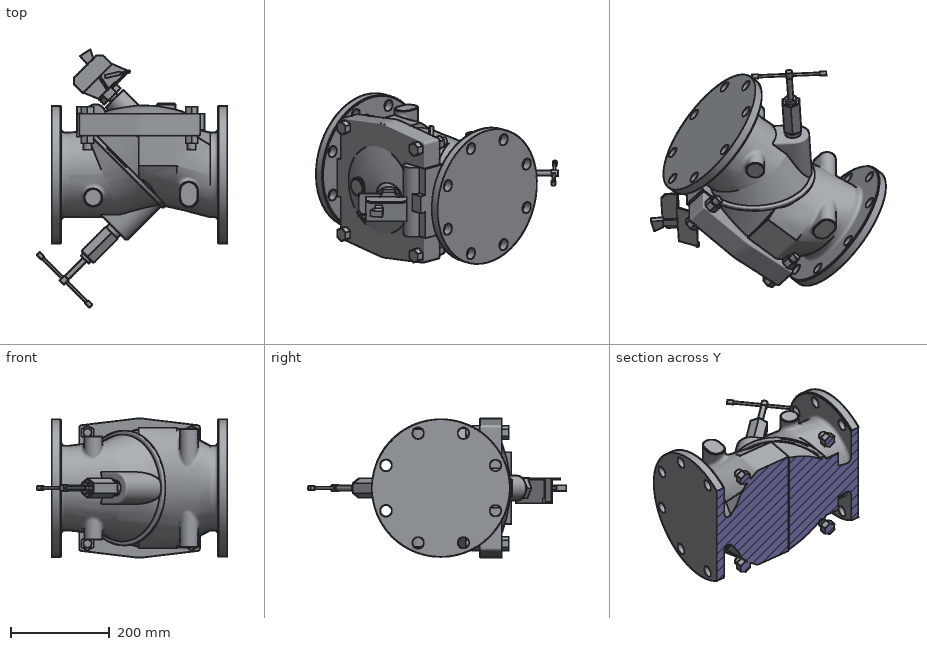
import cadquery as cq
import math


FACE_TO_FACE = 356.0
HALF_LENGTH = FACE_TO_FACE / 2
FLANGE_RADIUS = 139.7
FLANGE_THICKNESS = 19.5
FLANGE_INNER_X = HALF_LENGTH - FLANGE_THICKNESS
FLANGE_EDGE = 2.0
BOLT_CIRCLE_RADIUS = 120.0
FLANGE_HOLE_RADIUS = 11.5
FLANGE_HOLE_COUNT = 8
NECK_RADIUS = 86.0
NECK_END_X = 143.0
NECK_FILLET = 7.0

ELBOW_CENTRE = (-73.5, 1.0)
ELBOW_ANGLE = 22.5
ELBOW_RADIUS = 94.5
SEAT_CENTRE = (-31.5, 17.5)
SEAT_ANGLE = 45.0
SEAT_RADIUS = 110.0
SEAT_COLLAR_END_RADIUS = 121.0
SEAT_RIB_RADIUS = 116.5
SEAT_RIB_WIDTH = 9.0
SEAT_RIB_FILLET = 3.0
SEAT_COLLAR_LENGTH = 62.0

CHAMBER_HALF_WIDTH = 122.0
CHAMBER_START_X = -2.0
CHAMBER_END_X = 75.5
CHAMBER_SIDE_BOTTOM_Y = 18.0
CHAMBER_CORNER_RADIUS = 10.0
CHAMBER_FLOOR_START_Y = -51.0
CHAMBER_FLOOR_END_Y = -69.0

COVER_BOTTOM_Y = 79.0
COVER_TOP_Y = 124.0
COVER_MIDDLE_Y = (COVER_BOTTOM_Y + COVER_TOP_Y) / 2
COVER_HALF_LENGTH = 122.6
COVER_END_HALF_WIDTH = 127.0
COVER_HALF_WIDTH = 282.55 / 2
COVER_CROWN_HALF_LENGTH = 16.0
COVER_CROWN_EDGE_HALF_WIDTH = 139.8
COVER_CORNER_RADIUS = 6.0
COVER_EDGE_RADIUS = 3.0
COVER_TOP_EDGE_RADIUS = 1.5
DOME_CENTRE_X = 8.0
DOME_TOP_Y = 141.0
DOME_RADIUS = 250.0
DOME_COLUMN_RADIUS = 110.0
PLUG_X = 54.0
PLUG_RADIUS = 19.0
PLUG_RIM_RADIUS = 16.5
PLUG_TOP_Y = 144.5

HINGE_HALF_WIDTH = 73.0
HINGE_X = -89.0
HINGE_Y = 123.0
HINGE_RADIUS = 20.0
HINGE_BLOCK_MIN_X = -127.0
HINGE_BLOCK_TOP_Y = 125.0
HINGE_LUG_HALF_WIDTH = 18.0
HINGE_LUG_TOP_Y = 138.0
HINGE_BLOCK_BOTTOM_Y = 77.0
OUTLET_PAD_MAX_X = 131.7
OUTLET_PAD_BOTTOM_Y = 91.0
OUTLET_PAD_HALF_WIDTH = 40.0
PAD_CORNER_RADIUS = 3.0

BOLT_X = 105.4
BOLT_Z = 112.5
BOLT_RADIUS = 8.3
BOLT_END_Y = 51.0
HEX_ACROSS_FLATS = 24.4
HEAD_TOP_Y = 138.0
NUT_BOTTOM_Y = 63.5

BOSS_RADIUS = 18.5
INLET_BOSS_FILLET = 8.0
OUTLET_BOSS_FILLET = 7.0
BOSS_ROOT_MIN_Z = 30.0
BOSS_ROOT_MARGIN = 3.0
INLET_BOSS_X = -94.0
INLET_BOSS_Y = -46.0
INLET_BOSS_Z = 105.0
OUTLET_BOSS_X = 100.0
OUTLET_BOSS_Y = -39.5
OUTLET_BOSS_LENGTH = 52.0
OUTLET_BOSS_Z = 120.5
BOSS_EDGE = 1.5

JACK_OFFSET = 61.0
JACK_BOSS_RADIUS = 33.0
JACK_BOSS_INLET_REACH = 46.2
JACK_BOSS_START = 10.0
JACK_BOSS_END = 113.0
JACK_BOSS_EDGE = 4.0
JACK_COLLAR = (16.0, 123.0)
JACK_HEX_ACROSS_FLATS = 34.6
JACK_HEX_EDGE = 1.5
JACK_HEX_END = 193.0
JACK_GLAND = (11.5, 200.0)
JACK_ROD = (5.5, 252.0)
JACK_HUB = (6.5, 266.0)
HANDLE_DISTANCE = 258.0
HANDLE_ROD_RADIUS = 2.8
HANDLE_CAP_RADIUS = 4.5
HANDLE_CAP_LENGTH = 13.0
HANDLE_HALF_LENGTH = 75.5

INDICATOR_OFFSET = 103.5
INDICATOR_BOSS_RADIUS = 25.5
INDICATOR_BOSS_START = 90.0
INDICATOR_BOSS_END = 145.0
INDICATOR_SHAFT_RADIUS = 10.0
INDICATOR_NUT_ACROSS_FLATS = 41.0
INDICATOR_NUT_START = 151.0
INDICATOR_NUT_END = 168.0
SHEET = 3.0
BRACKET_TOP_Z = 20.0
BRACKET_BOTTOM_Z = -31.0
BRACKET_NEAR = 163.0
BRACKET_FAR = 201.0
BRACKET_NEAR_ACROSS = (-21.5, 60.5)
BRACKET_FAR_ACROSS = (-37.5, 45.5)
BRACKET_BEND_RADIUS = 2.5
PLATE_END = 233.0
PLATE_CHAMFER = 9.5
PADDLE = [(-121.0, 240.5), (-99.5, 254.2), (-93.0, 235.0), (-104.0, 222.0)]
PADDLE_HALF_THICKNESS = 6.0
STEM_ACROSS = (12.5, 26.5)
STEM_HALF_THICKNESS = 2.5
STEM_END = 233.0
SPRING_ENDS = ((190.0, 18.0), (173.0, 45.0))
SPRING_RADIUS = 3.4
WIRE_ENDS = ((190.0, 18.0), (163.5, 59.0))
WIRE_RADIUS = 1.5
LEVER_ENDS = ((196.0, 9.5), (167.0, 3.5))
LEVER_RADIUS = 2.2
LOOP_RADIUS = 3.0
LOOP_TOP_Z = -21.0

DIAGONAL = math.sqrt(0.5)
COVER_OUTWARD = cq.Vector(0, 1, 0)
JACK_OUTWARD = cq.Vector(-1, -1, 0)
INDICATOR_OUTWARD = cq.Vector(-1, 1, 0)


def cylinder(radius, start, end):
    axis = end - start
    return cq.Workplane(cq.Solid.makeCylinder(radius, axis.Length, start, axis))


def box(x_range, y_range, z_range):
    size = [high - low for low, high in (x_range, y_range, z_range)]
    corner = cq.Vector(x_range[0], y_range[0], z_range[0])
    return cq.Workplane(cq.Solid.makeBox(*size, corner))


def box_around(centre, reach_x, reach_y, reach_z):
    """Selects the edges whose centres lie within the given reaches of a point."""
    reach = cq.Vector(reach_x, reach_y, reach_z)
    return cq.selectors.BoxSelector((centre - reach).toTuple(), (centre + reach).toTuple())


def axial_plane(origin, direction):
    """Plane square to a direction in the XY plane; its local x is global Z."""
    return cq.Plane(origin=origin, xDir=(0, 0, 1), normal=direction)


def inclined_direction(angle):
    return cq.Vector(math.cos(math.radians(angle)), math.sin(math.radians(angle)), 0)


def circle_wire(centre, angle, radius):
    return cq.Wire.makeCircle(radius, cq.Vector(*centre), inclined_direction(angle))


def flange(side):
    outer = cq.Vector(side * HALF_LENGTH, 0, 0)
    inner = cq.Vector(side * FLANGE_INNER_X, 0, 0)
    disc = cylinder(FLANGE_RADIUS, inner, outer)
    disc = disc.faces("<X" if side > 0 else ">X").edges().chamfer(FLANGE_EDGE)
    for index in range(FLANGE_HOLE_COUNT):
        angle = 2 * math.pi * (index + 0.5) / FLANGE_HOLE_COUNT
        across = cq.Vector(0, BOLT_CIRCLE_RADIUS * math.cos(angle), BOLT_CIRCLE_RADIUS * math.sin(angle))
        disc = disc.cut(cylinder(FLANGE_HOLE_RADIUS, inner + across, outer + across))
    return disc.union(neck(side))


def neck(side):
    """Pipe neck with a concave root against the flange, revolved about the X axis."""
    root_x = FLANGE_INNER_X - NECK_FILLET
    bend = NECK_FILLET * (1 - DIAGONAL)
    outline = (
        cq.Workplane("XY")
        .moveTo(side * NECK_END_X, 0)
        .lineTo(side * NECK_END_X, NECK_RADIUS)
        .lineTo(side * root_x, NECK_RADIUS)
        .threePointArc(
            (side * (FLANGE_INNER_X - bend), NECK_RADIUS + bend),
            (side * FLANGE_INNER_X, NECK_RADIUS + NECK_FILLET),
        )
        .lineTo(side * FLANGE_INNER_X, 0)
        .close()
    )
    return outline.revolve(360, (0, 0, 0), (1, 0, 0))


def inlet():
    sections = [
        circle_wire((-NECK_END_X, 0), 0, NECK_RADIUS),
        circle_wire(ELBOW_CENTRE, ELBOW_ANGLE, ELBOW_RADIUS),
        circle_wire(SEAT_CENTRE, SEAT_ANGLE, SEAT_RADIUS),
    ]
    return cq.Workplane(cq.Solid.makeLoft(sections, True))


def below_cover(shape):
    """Trims away what would stand above the middle of the cover."""
    reach = FACE_TO_FACE
    return shape.cut(box((-reach, reach), (COVER_MIDDLE_Y, reach), (-reach, reach)))


def seat():
    """Raised rib around the seat and the flared collar that carries on into the chamber."""
    along = inclined_direction(SEAT_ANGLE)
    centre = cq.Vector(*SEAT_CENTRE)
    half_width = along * (SEAT_RIB_WIDTH / 2)
    rib = cylinder(SEAT_RIB_RADIUS, centre - half_width, centre + half_width)
    rib = rib.edges().fillet(SEAT_RIB_FILLET)
    collar = cq.Solid.makeCone(SEAT_RADIUS, SEAT_COLLAR_END_RADIUS, SEAT_COLLAR_LENGTH, centre, along)
    return rib.union(cq.Workplane(collar))


def chamber_wire(x, floor_y):
    half = CHAMBER_HALF_WIDTH
    plane = cq.Plane(origin=(x, 0, 0), xDir=(0, 1, 0), normal=(1, 0, 0))
    return (
        cq.Workplane(plane)
        .moveTo(COVER_MIDDLE_Y, -half)
        .lineTo(CHAMBER_SIDE_BOTTOM_Y, -half)
        .threePointArc((floor_y, 0), (CHAMBER_SIDE_BOTTOM_Y, half))
        .lineTo(COVER_MIDDLE_Y, half)
        .close()
        .val()
    )


def outlet_neck_wire():
    """Round neck section, split into stretches that match the chamber section."""
    radius = NECK_RADIUS
    slant = radius * DIAGONAL
    side_middle_angle = math.radians(45 / 2)
    side_y = radius * math.sin(side_middle_angle)
    side_z = radius * math.cos(side_middle_angle)
    plane = cq.Plane(origin=(NECK_END_X, 0, 0), xDir=(0, 1, 0), normal=(1, 0, 0))
    return (
        cq.Workplane(plane)
        .moveTo(slant, -slant)
        .threePointArc((side_y, -side_z), (0, -radius))
        .threePointArc((-radius, 0), (0, radius))
        .threePointArc((side_y, side_z), (slant, slant))
        .threePointArc((radius, 0), (slant, -slant))
        .close()
        .val()
    )


def chamber():
    start = chamber_wire(CHAMBER_START_X, CHAMBER_FLOOR_START_Y)
    end = chamber_wire(CHAMBER_END_X, CHAMBER_FLOOR_END_Y)
    middle = cq.Workplane(cq.Solid.makeLoft([start, end], True))
    taper = cq.Workplane(cq.Solid.makeLoft([end, outlet_neck_wire()], True))
    reach = FACE_TO_FACE
    seat_plane = axial_plane((*SEAT_CENTRE, 0), inclined_direction(SEAT_ANGLE))
    inlet_side = cq.Workplane(seat_plane).rect(2 * reach, 2 * reach).extrude(-reach)
    body = middle.cut(inlet_side).union(taper)
    corner_reach = 1.0
    corner_y = (CHAMBER_SIDE_BOTTOM_Y + COVER_MIDDLE_Y) / 2
    for side in (-1, 1):
        corner = cq.Vector(CHAMBER_END_X, corner_y, side * CHAMBER_HALF_WIDTH)
        body = body.edges(box_around(corner, corner_reach, corner_reach, corner_reach))
        body = body.fillet(CHAMBER_CORNER_RADIUS)
    return body


def cover_body():
    plane = cq.Plane(origin=(0, COVER_BOTTOM_Y, 0), xDir=(1, 0, 0), normal=(0, 1, 0))
    crown = COVER_CROWN_HALF_LENGTH
    crown_z = COVER_CROWN_EDGE_HALF_WIDTH
    length = COVER_HALF_LENGTH
    end_z = COVER_END_HALF_WIDTH
    body = (
        cq.Workplane(plane)
        .moveTo(-length, -end_z)
        .lineTo(-crown, -crown_z)
        .threePointArc((0, -COVER_HALF_WIDTH), (crown, -crown_z))
        .lineTo(length, -end_z)
        .lineTo(length, end_z)
        .lineTo(crown, crown_z)
        .threePointArc((0, COVER_HALF_WIDTH), (-crown, crown_z))
        .lineTo(-length, end_z)
        .close()
        .extrude(COVER_TOP_Y - COVER_BOTTOM_Y)
    )
    ends = body.edges("|Y").edges("<X or >X")
    body = ends.fillet(COVER_CORNER_RADIUS).faces("<Y").edges().fillet(COVER_EDGE_RADIUS)
    return body.faces(">Y").edges().fillet(COVER_TOP_EDGE_RADIUS)


def dome():
    ball = cq.Workplane("XY").sphere(DOME_RADIUS).translate((DOME_CENTRE_X, DOME_TOP_Y - DOME_RADIUS, 0))
    column = cylinder(
        DOME_COLUMN_RADIUS,
        cq.Vector(DOME_CENTRE_X, COVER_TOP_Y - COVER_EDGE_RADIUS, 0),
        cq.Vector(DOME_CENTRE_X, DOME_TOP_Y, 0),
    )
    return ball.intersect(column)


def plug():
    base = cq.Vector(PLUG_X, 0, 0)
    edge = PLUG_RADIUS - PLUG_RIM_RADIUS
    body = cylinder(PLUG_RADIUS, base + COVER_OUTWARD * COVER_MIDDLE_Y, base + COVER_OUTWARD * PLUG_TOP_Y)
    return body.faces(">Y").edges().chamfer(edge)


def hinge_housing():
    side = cq.Vector(0, 0, HINGE_HALF_WIDTH)
    centre = cq.Vector(HINGE_X, HINGE_Y, 0)
    barrel = cylinder(HINGE_RADIUS, centre - side, centre + side)
    block = box(
        (HINGE_BLOCK_MIN_X, HINGE_X),
        (HINGE_BLOCK_BOTTOM_Y, HINGE_BLOCK_TOP_Y),
        (-HINGE_HALF_WIDTH, HINGE_HALF_WIDTH),
    )
    lug = box(
        (HINGE_BLOCK_MIN_X, HINGE_X),
        (HINGE_BLOCK_BOTTOM_Y, HINGE_LUG_TOP_Y),
        (-HINGE_LUG_HALF_WIDTH, HINGE_LUG_HALF_WIDTH),
    )
    return barrel.union(block).union(lug)


def outlet_pad():
    half = OUTLET_PAD_HALF_WIDTH
    pad = box((0, OUTLET_PAD_MAX_X), (OUTLET_PAD_BOTTOM_Y, COVER_TOP_Y), (-half, half))
    return pad.edges("|Y and >X").fillet(PAD_CORNER_RADIUS)


def hexagon(plane, across_flats, length):
    return cq.Workplane(plane).polygon(6, across_flats / math.cos(math.pi / 6)).extrude(length)


def cover_bolt(x, z):
    """Bolt through the cover: head above, nut and thread end below."""
    foot = cq.Vector(x, 0, z)
    shank = cylinder(BOLT_RADIUS, foot + COVER_OUTWARD * BOLT_END_Y, foot + COVER_OUTWARD * HEAD_TOP_Y)
    nut_plane = axial_plane((x, NUT_BOTTOM_Y, z), COVER_OUTWARD)
    nut = hexagon(nut_plane, HEX_ACROSS_FLATS, COVER_MIDDLE_Y - NUT_BOTTOM_Y)
    head_plane = axial_plane((x, COVER_MIDDLE_Y, z), COVER_OUTWARD)
    head = hexagon(head_plane, HEX_ACROSS_FLATS, HEAD_TOP_Y - COVER_MIDDLE_Y)
    return shank.union(nut).union(head)


def side_bosses(body):
    inlet_pair = (
        cq.Workplane("XY", origin=(INLET_BOSS_X, INLET_BOSS_Y, 0))
        .circle(BOSS_RADIUS)
        .extrude(INLET_BOSS_Z, both=True)
    )
    outlet_pair = (
        cq.Workplane("XY", origin=(OUTLET_BOSS_X, OUTLET_BOSS_Y, 0))
        .slot2D(OUTLET_BOSS_LENGTH, 2 * BOSS_RADIUS, 90)
        .extrude(OUTLET_BOSS_Z, both=True)
    )
    for pair in (inlet_pair, outlet_pair):
        body = body.union(pair.faces("<Z or >Z").edges().chamfer(BOSS_EDGE))
    reach_x = BOSS_RADIUS + BOSS_ROOT_MARGIN
    outlet_reach_y = OUTLET_BOSS_LENGTH / 2 + BOSS_ROOT_MARGIN
    bosses = (
        (INLET_BOSS_X, INLET_BOSS_Y, INLET_BOSS_Z, reach_x, INLET_BOSS_FILLET),
        (OUTLET_BOSS_X, OUTLET_BOSS_Y, OUTLET_BOSS_Z, outlet_reach_y, OUTLET_BOSS_FILLET),
    )
    for x, y, end_z, reach_y, radius in bosses:
        middle_z = (BOSS_ROOT_MIN_Z + end_z) / 2
        for side in (-1, 1):
            centre = cq.Vector(x, y, side * middle_z)
            root = box_around(centre, reach_x, reach_y, end_z - middle_z - BOSS_ROOT_MARGIN)
            body = body.edges("%BSPLINE").edges(root).fillet(radius)
    return body


def jack_point(distance):
    across = JACK_OFFSET / 2
    along = distance * DIAGONAL
    return cq.Vector(across - along, -across - along, 0)


def jack_boss():
    """Boss that is round towards +X and runs straight into the inlet towards -X."""
    plane = axial_plane(jack_point(JACK_BOSS_START), JACK_OUTWARD)
    toward_inlet = math.copysign(1, -plane.yDir.x)
    radius = JACK_BOSS_RADIUS
    outline = (
        cq.Workplane(plane)
        .moveTo(-radius, 0)
        .threePointArc((0, -toward_inlet * radius), (radius, 0))
        .lineTo(radius, toward_inlet * JACK_BOSS_INLET_REACH)
        .lineTo(-radius, toward_inlet * JACK_BOSS_INLET_REACH)
        .close()
    )
    body = outline.extrude(JACK_BOSS_END - JACK_BOSS_START)
    return body.faces(cq.selectors.DirectionMinMaxSelector(JACK_OUTWARD)).edges().fillet(JACK_BOSS_EDGE)


def jack_screw():
    start = JACK_COLLAR[1]
    screw = hexagon(axial_plane(jack_point(start), JACK_OUTWARD), JACK_HEX_ACROSS_FLATS, JACK_HEX_END - start)
    screw = screw.faces(cq.selectors.DirectionMinMaxSelector(JACK_OUTWARD)).edges().chamfer(JACK_HEX_EDGE)
    for radius, end in (JACK_COLLAR, JACK_GLAND, JACK_ROD):
        screw = screw.union(cylinder(radius, jack_point(JACK_BOSS_START), jack_point(end)))
    hub_radius, hub_end = JACK_HUB
    return screw.union(cylinder(hub_radius, jack_point(JACK_ROD[1]), jack_point(hub_end)))


def handle():
    centre = jack_point(HANDLE_DISTANCE)
    along = cq.Vector(-DIAGONAL, DIAGONAL, 0)
    tip = along * HANDLE_HALF_LENGTH
    bar = cylinder(HANDLE_ROD_RADIUS, centre - tip, centre + tip)
    for end in (tip, -tip):
        cap_start = end * (1 - HANDLE_CAP_LENGTH / HANDLE_HALF_LENGTH)
        bar = bar.union(cylinder(HANDLE_CAP_RADIUS, centre + cap_start, centre + end))
    return bar


def indicator_point(distance, across=0.0):
    """Point in the XY plane; across runs towards +X +Y."""
    middle = INDICATOR_OFFSET / 2
    return cq.Vector(
        middle - (distance - across) * DIAGONAL,
        middle + (distance + across) * DIAGONAL,
        0,
    )


def prism(points, bottom, top):
    corners = [(point.x, point.y) for point in points]
    return cq.Workplane("XY", origin=(0, 0, bottom)).polyline(corners).close().extrude(top - bottom)


def strip(along, across, bottom, top):
    near, far = along
    low, high = across
    corners = [(near, low), (near, high), (far, high), (far, low)]
    return prism([indicator_point(*corner) for corner in corners], bottom, top)


def indicator_boss():
    start = indicator_point(INDICATOR_BOSS_START)
    boss = cylinder(INDICATOR_BOSS_RADIUS, start, indicator_point(INDICATOR_BOSS_END))
    shaft = cylinder(INDICATOR_SHAFT_RADIUS, start, indicator_point(BRACKET_NEAR + SHEET))
    nut_plane = axial_plane(indicator_point(INDICATOR_NUT_START), INDICATOR_OUTWARD)
    nut = hexagon(
        nut_plane.rotated((0, 0, 30)),
        INDICATOR_NUT_ACROSS_FLATS,
        INDICATOR_NUT_END - INDICATOR_NUT_START,
    )
    return boss.union(shaft).union(nut)


def bracket():
    """Folded sheet: floor, a wall along each of its two long edges, and a chamfered top plate."""
    near_low, near_high = BRACKET_NEAR_ACROSS
    far_low, far_high = BRACKET_FAR_ACROSS
    bottom = BRACKET_BOTTOM_Z
    plate_bottom = BRACKET_TOP_Z - SHEET
    floor_corners = [
        (BRACKET_NEAR, near_low),
        (BRACKET_NEAR, near_high),
        (BRACKET_FAR, far_high),
        (BRACKET_FAR, far_low),
    ]
    floor = prism([indicator_point(*corner) for corner in floor_corners], bottom, bottom + SHEET)
    near_wall = strip((BRACKET_NEAR, BRACKET_NEAR + SHEET), BRACKET_NEAR_ACROSS, bottom, plate_bottom)
    far_wall = strip((BRACKET_FAR - SHEET, BRACKET_FAR), BRACKET_FAR_ACROSS, bottom, BRACKET_TOP_Z)
    bend = far_wall.faces(">Z").edges(cq.selectors.DirectionMinMaxSelector(-INDICATOR_OUTWARD))
    far_wall = bend.fillet(BRACKET_BEND_RADIUS)
    plate_corners = [
        (BRACKET_FAR - SHEET, far_low),
        (BRACKET_FAR - SHEET, far_high),
        (PLATE_END - PLATE_CHAMFER, far_high),
        (PLATE_END, far_high - PLATE_CHAMFER),
        (PLATE_END, far_low + PLATE_CHAMFER),
        (PLATE_END - PLATE_CHAMFER, far_low),
    ]
    plate = prism([indicator_point(*corner) for corner in plate_corners], plate_bottom, BRACKET_TOP_Z)
    return floor.union(near_wall).union(far_wall).union(plate)


def paddle():
    blade = cq.Workplane("XY").polyline(PADDLE).close().extrude(PADDLE_HALF_THICKNESS, both=True)
    stem = strip((BRACKET_FAR - SHEET, STEM_END), STEM_ACROSS, -STEM_HALF_THICKNESS, STEM_HALF_THICKNESS)
    return blade.union(stem)


def spring_linkage():
    """Lever, spring and wire that lie on the bracket floor, with the loop at the wire's end."""
    axis_height = cq.Vector(0, 0, BRACKET_BOTTOM_Z + SHEET + LEVER_RADIUS / 2)
    loop_bottom = cq.Vector(0, 0, BRACKET_BOTTOM_Z)
    loop_top = cq.Vector(0, 0, LOOP_TOP_Z)
    loop_centre = indicator_point(*WIRE_ENDS[1])
    linkage = cylinder(LOOP_RADIUS, loop_centre + loop_bottom, loop_centre + loop_top)
    rods = ((SPRING_RADIUS, SPRING_ENDS), (WIRE_RADIUS, WIRE_ENDS), (LEVER_RADIUS, LEVER_ENDS))
    for radius, ends in rods:
        start, end = [indicator_point(*position) + axis_height for position in ends]
        linkage = linkage.union(cylinder(radius, start, end))
    return linkage


body = side_bosses(inlet().union(below_cover(seat())).union(chamber()).union(jack_boss()))

result = body.union(flange(-1)).union(flange(1))
for part in (cover_body(), dome(), plug(), hinge_housing(), outlet_pad()):
    result = result.union(part)
for side_x in (-BOLT_X, BOLT_X):
    for side_z in (-BOLT_Z, BOLT_Z):
        result = result.union(cover_bolt(side_x, side_z))
for part in (jack_screw(), handle(), indicator_boss(), bracket(), paddle(), spring_linkage()):
    result = result.union(part)